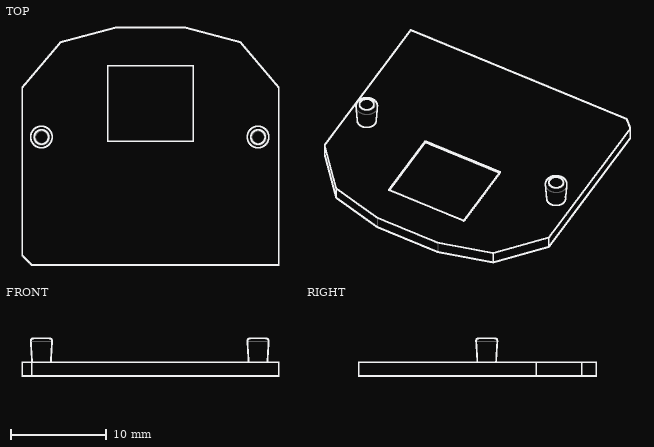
import cadquery as cq

WIDTH = 27.0
DEPTH = 25.0
THICKNESS = 1.48
CORNER_CUT = 1.0
SIDE_LENGTH = 18.68
SHOULDER_INSET = 4.05
SHOULDER_Y = 23.45
BACK_EDGE_WIDTH = 7.3

RECESS_WIDTH = 9.02
RECESS_LENGTH = 7.9
RECESS_FRONT_Y = 13.05
RECESS_DEPTH = 0.2

TOTAL_HEIGHT = 4.0
PIN_SPACING = 22.8
LEFT_PIN_X = 2.02
PIN_Y = 13.47
PIN_BASE_DIAMETER = 2.0
PIN_FLARE_DIAMETER = 2.27
PIN_ROUNDING = 0.3
BORE_RIM_DIAMETER = 1.5
BORE_END_DIAMETER = 1.3
BORE_FLOOR = 0.14


def make_plate():
    back_left_x = (WIDTH - BACK_EDGE_WIDTH) / 2
    outline = [
        (CORNER_CUT, 0),
        (WIDTH, 0),
        (WIDTH, SIDE_LENGTH),
        (WIDTH - SHOULDER_INSET, SHOULDER_Y),
        (WIDTH - back_left_x, DEPTH),
        (back_left_x, DEPTH),
        (SHOULDER_INSET, SHOULDER_Y),
        (0, SIDE_LENGTH),
        (0, CORNER_CUT),
    ]
    return cq.Workplane("XY").polyline(outline).close().extrude(THICKNESS)


def make_recess():
    recess = cq.Workplane("XY").box(
        RECESS_WIDTH, RECESS_LENGTH, RECESS_DEPTH, centered=(True, False, False)
    )
    return recess.translate((WIDTH / 2, RECESS_FRONT_Y, THICKNESS - RECESS_DEPTH))


def make_pin():
    """Pin standing on Z = 0: flared wall, rounded rim, and a tapering bore
    with a hemispherical bottom.
    """
    height = TOTAL_HEIGHT - THICKNESS
    flare_radius = PIN_FLARE_DIAMETER / 2
    flare_z = height - PIN_ROUNDING
    bore_end_radius = BORE_END_DIAMETER / 2
    profile = (
        cq.Workplane("XZ")
        .moveTo(0, 0)
        .lineTo(PIN_BASE_DIAMETER / 2, 0)
        .lineTo(flare_radius, flare_z)
        .radiusArc((flare_radius - PIN_ROUNDING, height), -PIN_ROUNDING)
        .lineTo(BORE_RIM_DIAMETER / 2, height)
        .lineTo(bore_end_radius, BORE_FLOOR + bore_end_radius)
        .radiusArc((0, BORE_FLOOR), bore_end_radius)
        .close()
    )
    return profile.revolve(360, (0, 0, 0), (0, 1, 0))


result = make_plate().cut(make_recess())
for pin_x in (LEFT_PIN_X, LEFT_PIN_X + PIN_SPACING):
    result = result.union(make_pin().translate((pin_x, PIN_Y, THICKNESS)))